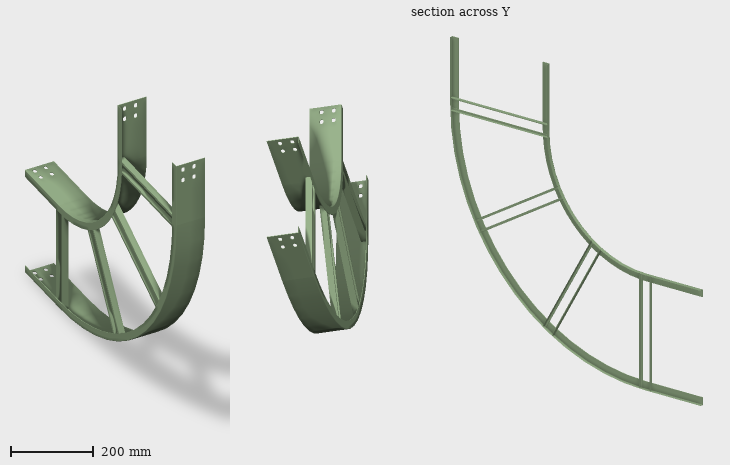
import cadquery as cq
import math

overall = 773
outer_radius = 600.0
leg_length = overall - outer_radius
inner_radius = 300.0

rail_height = 80.0
flange_width = 20.0
sheet = 1.5

rung_angles = (0, 30, 60, 90)
rung_width = 35.0
rung_depth = 16.0
lip_width = 6.0

slot_length = 13.0
slot_width = 9.0
slot_from_end = 15.5
slots_per_row = 2
slot_pitch = 30.0
slot_from_flange = 19.0


def rail_section(web_face, flange_side):
    """Folded L section: a web at web_face, with a flange at Y = 0 pointing outward (+1) or inward (-1)."""
    def at(depth):
        return web_face + flange_side * depth

    arc_middle = sheet * (1 - math.sqrt(0.5))
    return (
        cq.Workplane("XY")
        .moveTo(at(sheet), 0)
        .lineTo(at(flange_width), 0)
        .lineTo(at(flange_width), sheet)
        .lineTo(at(sheet), sheet)
        .lineTo(at(sheet), rail_height)
        .lineTo(at(0), rail_height)
        .lineTo(at(0), sheet)
        .threePointArc((at(arc_middle), arc_middle), (at(sheet), 0))
        .close()
    )


def turn(body, angle):
    """Carry a body around the bend, from +X towards -Z."""
    return body.rotate((0, 0, 0), (0, 1, 0), angle)


def rail(web_face, flange_side):
    """Angle rail: the quarter bend with a straight leg at each end."""
    bend = rail_section(web_face, flange_side).revolve(90, (0, 0, 0), (0, 1, 0))
    upper_leg = rail_section(web_face, flange_side).extrude(leg_length)
    lower_leg = turn(upper_leg.mirror("XY"), 90)
    return bend.union(upper_leg).union(lower_leg)


def rung(angle):
    """Lipped channel, open towards -Y, reaching from web to web behind the flanges."""
    start = inner_radius + sheet / 2
    length = outer_radius - inner_radius - sheet

    def bar(width, y_low, y_high):
        return (
            cq.Workplane("YZ", origin=(start, 0, 0))
            .center((y_low + y_high) / 2, 0)
            .rect(y_high - y_low, width)
            .extrude(length)
        )

    back = sheet + rung_depth
    channel = bar(rung_width, sheet, back)
    hollow = bar(rung_width - 2 * sheet, 2 * sheet, back - sheet)
    mouth = bar(rung_width - 2 * lip_width, sheet, back - sheet)
    return turn(channel.cut(hollow).cut(mouth), angle)


def end_slots():
    """Cutters for the joint slots, running through both webs at each end."""
    along = [leg_length - slot_from_end - i * slot_pitch for i in range(slots_per_row)]
    across = [slot_from_flange + i * slot_pitch for i in range(slots_per_row)]
    upper = (
        cq.Workplane("YZ")
        .pushPoints([(y, z) for y in across for z in along])
        .slot2D(slot_length, slot_width, 90)
        .extrude(outer_radius)
    )
    lower = upper.mirror("XY")
    return upper, turn(lower, 90)


result = rail(inner_radius, 1).union(rail(outer_radius, -1))
for rung_angle in rung_angles:
    result = result.union(rung(rung_angle))
for slots in end_slots():
    result = result.cut(slots)